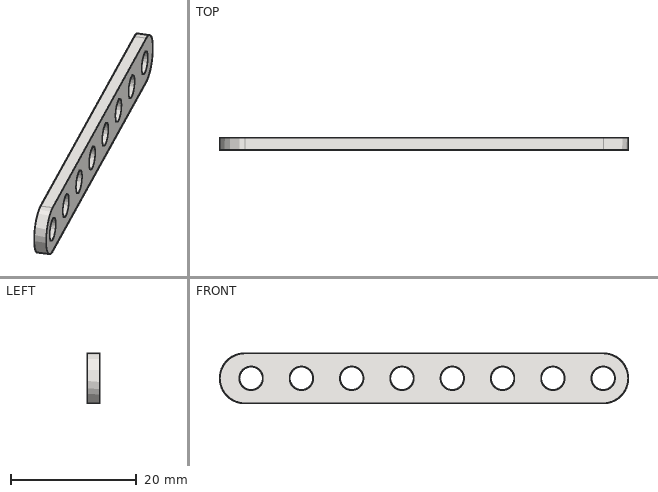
import cadquery as cq

length = 65.0
height = 8.0
thickness = 2.0
hole_diameter = 3.7
hole_count = 8
hole_pitch = 8.0

end_radius = height / 2
last_hole_x = length / 2 - end_radius
hole_positions = [(last_hole_x - i * hole_pitch, 0) for i in range(hole_count)]

back_plane = cq.Workplane("XZ", origin=(0, thickness / 2, 0))


def make_strip():
    """Flat strip with semicircular ends, standing upright and centred on the origin."""
    return back_plane.slot2D(length, height).extrude(thickness)


def make_holes():
    """Row of evenly spaced cylinders that run through the strip along Y."""
    return back_plane.pushPoints(hole_positions).circle(hole_diameter / 2).extrude(thickness)


result = make_strip().cut(make_holes())